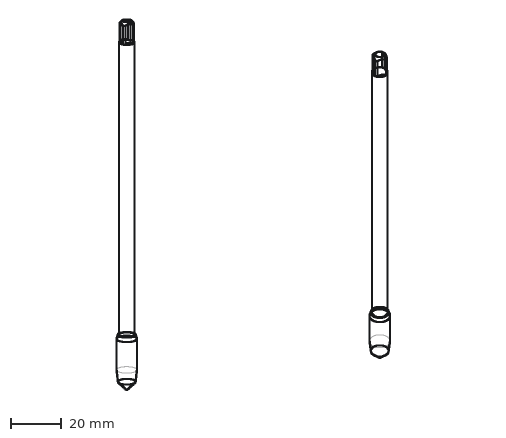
import cadquery as cq
import math

total_length = 153.1

head_diameter = 8.1
nose_diameter = 7.0
point_angle = 90.0
taper_top_z = 8.4
head_chamfer_z = 21.3
head_top_z = 23.0
head_top_diameter = 7.0

shaft_diameter = 6.1
shoulder_z = 144.7
shoulder_chamfer = 0.6
drive_width = 4.9
drive_corner_diameter = 6.0
drive_end_diameter = 3.5
drive_chamfer_angle = 45.0

drive_base_z = shoulder_z - shoulder_chamfer
point_height = nose_diameter / 2 / math.tan(math.radians(point_angle / 2))
drive_chamfer_width = (drive_corner_diameter - drive_end_diameter) / 2
drive_chamfer_height = drive_chamfer_width * math.tan(math.radians(drive_chamfer_angle))


def revolve_profile(points):
    """Revolve a closed (radius, height) outline about the Z axis."""
    return cq.Workplane("XZ").polyline(points).close().revolve(360, (0, 0), (0, 1))


def make_head():
    """Conical point, tapered nose and cylindrical collar with a chamfered top."""
    return revolve_profile([
        (0, 0),
        (nose_diameter / 2, point_height),
        (head_diameter / 2, taper_top_z),
        (head_diameter / 2, head_chamfer_z),
        (head_top_diameter / 2, head_top_z),
        (0, head_top_z),
    ])


def make_drive():
    """Square drive with round corners and a conical chamfer at its end."""
    envelope = revolve_profile([
        (0, drive_base_z),
        (drive_corner_diameter / 2, drive_base_z),
        (drive_corner_diameter / 2, total_length - drive_chamfer_height),
        (drive_end_diameter / 2, total_length),
        (0, total_length),
    ])
    square = (
        cq.Workplane("XY")
        .workplane(offset=drive_base_z)
        .rect(drive_width, drive_width)
        .extrude(total_length - drive_base_z)
    )
    return envelope.intersect(square)


def make_shaft():
    """Round shaft standing on the head, carrying the square drive."""
    rod = (
        cq.Workplane("XY")
        .workplane(offset=head_top_z)
        .circle(shaft_diameter / 2)
        .extrude(shoulder_z - head_top_z)
        .faces(">Z")
        .chamfer(shoulder_chamfer)
    )
    return rod.union(make_drive())


head = make_head()
shaft = make_shaft()

result = cq.Compound.makeCompound([head.val(), shaft.val()])